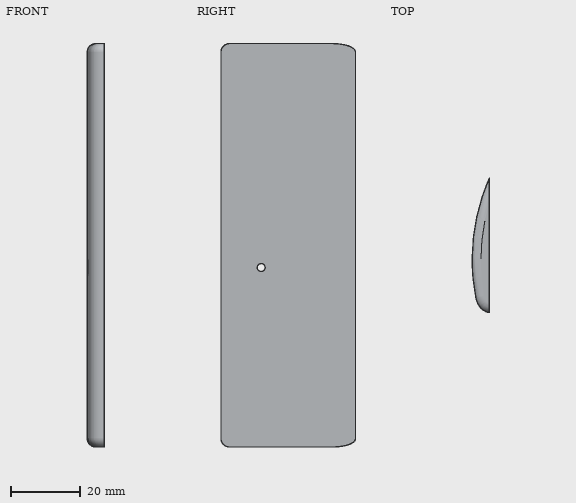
import cadquery as cq
import math

length = 117.0
width = 39.1
thickness = 5.0

crown_y = 15.5
edge_start_y = 4.3
seam_depth = 2.9
seam_y = 1.9
end_radius = 2.6
back_allowance = 3.5

hole_y = 11.7
hole_z = -6.4
hole_diameter = 2.2
bore_diameter = 4.2
bore_depth = 2.6

tip_rise = width - crown_y
crown_radius = (tip_rise**2 + thickness**2) / (2 * thickness)
crown_center_x = crown_radius - thickness


def crown_point(y):
    """Point of the crown arc at height y."""
    return (crown_center_x - math.sqrt(crown_radius**2 - (y - crown_y)**2), y)


def arc_end_direction(start, end, start_direction):
    """Direction, in radians from +X, of an arc where it reaches its end point."""
    chord_direction = math.atan2(end[1] - start[1], end[0] - start[0])
    return 2 * chord_direction - start_direction


def make_blank():
    """Rounded plate with its section continued behind the back plane."""
    top_y = crown_y + math.sqrt(crown_radius**2 - (crown_center_x - back_allowance)**2)
    edge_start = crown_point(edge_start_y)
    seam = (-seam_depth, seam_y)
    low_corner = (0, 0)

    crown_end_direction = -math.pi / 2 + math.asin((crown_y - edge_start_y) / crown_radius)
    seam_direction = arc_end_direction(edge_start, seam, crown_end_direction)
    corner_direction = arc_end_direction(seam, low_corner, seam_direction)
    bottom_y = back_allowance * math.tan(corner_direction)

    section = (
        cq.Workplane("XY")
        .workplane(offset=-length / 2)
        .moveTo(back_allowance, top_y)
        .threePointArc(crown_point(crown_y), edge_start)
        .tangentArcPoint(seam, relative=False)
        .tangentArcPoint(low_corner, relative=False)
        .lineTo(back_allowance, bottom_y)
        .close()
    )
    blank = section.extrude(length)
    rounded = blank.faces("|Z").edges("not(>X)")
    return rounded.fillet(end_radius)


def trim_back(body):
    """Keep only the material in front of the back plane X = 0."""
    keep = cq.Workplane("XY").box(width, 3 * width, 2 * length).translate((-width / 2, 0, 0))
    return body.intersect(keep)


def cylinder_from_front(diameter, depth):
    """Hole cutter running along +X from the front of the crown."""
    return (
        cq.Workplane("YZ")
        .workplane(offset=-thickness)
        .center(hole_y, hole_z)
        .circle(diameter / 2)
        .extrude(depth)
    )


plate = trim_back(make_blank())
through_hole = cylinder_from_front(hole_diameter, thickness)
counterbore = cylinder_from_front(bore_diameter, bore_depth)
result = plate.cut(through_hole).cut(counterbore)